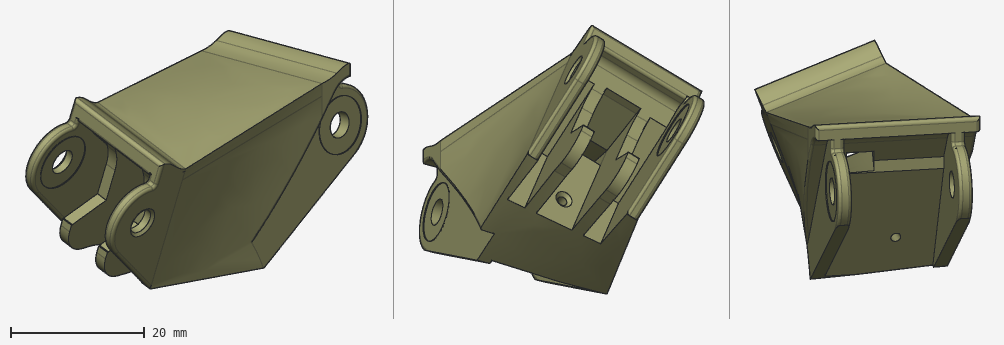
import cadquery as cq
import math

top_height = 29.0
pin_drop = 10.25
ear_radius = 6.15
edge_round = 0.5
lip_round = 0.6
lip_end_slope = 0.1
lip_bend_slope = 0.5
pin_diameter = 4.0
countersink = 0.45
recess_diameter = 9.0
recess_depth = 0.15

body_width = 25.0
rear_pin_y = 48.85
rear_skin_y = 42.45
rear_skin_drop = 1.9
rear_bend_y = 45.65
rear_bend_drop = 1.0
rear_rim_slope = math.radians(48)
underside_slope = math.radians(35)
underside_foot_y = 32.4
rear_ear_inset = 2.3
rear_ear_thickness = 2.05

clearance_drop = 2.2
clearance_radius = 4.4
side_clearance_slope = math.radians(53.3)
middle_clearance_slope = math.radians(64)
skin_round = 0.4

flank_foot_y = 30.25
flank_bulge = 1.4

yoke_turn = 20
front_width = 19.4
front_depth = 23.65
front_top_step = 0.1
front_pin_y = 6.15
front_lip_y = 6.7
front_skin_y = 12.55
front_skin_drop = 2.15
front_bend_y = 10.7
front_bend_drop = 1.55
front_slope = math.radians(40)
front_ear_thickness = 1.85

shoulder_drop = 2.0

pocket_drop = 2.6
roof_bend_radius = 1.65
roof_slope = math.radians(58)
slot_shoulder_drop = 6.15
left_slot_back_drop = 14.15
right_slot_back_drop = 14.8
slot_back_y = 21.7

rib_inset = 4.8
rib_thickness = 1.9
rib_hollow_radius = 6.45
rib_step_drop = 15.55
rib_tip_drop = 18.5
rib_flat = 1.15

tunnel_drop = 5.8
tunnel_back_drop = 7.05
tunnel_exit_x = 15.25
tunnel_exit_y = 44.0
tunnel_exit_z = 19.8
tunnel_exit_width = 4.1
tunnel_exit_height = 3.3
cord_diameter = 1.5
cord_mouth_diameter = 2.65
cord_drop = 19.65

pin_z = top_height - pin_drop
turn = math.radians(yoke_turn)
corner_x = front_depth * math.sin(turn)
corner_z = top_height - front_top_step

margin = 0.55
far = 82.5


def slab(outline, start, thickness):
    """Extrude a (y, z) outline along X from x = start."""
    return outline.close().extrude(thickness).translate((start, 0, 0))


def around(y, z, radius, angle):
    """Point of a circle; the angle is measured from +Z towards +Y."""
    return y + radius * math.sin(angle), z + radius * math.cos(angle)


def yoke_outline(side, pin_y, lip_y, bend, skin, slope):
    """S-shaped lip, notch, round ear and sloping underside; side is the Y sign of the ear tip."""
    crest = (lip_y - side * lip_round, top_height)
    crest_mid = around(crest[0], top_height - lip_round, lip_round, side * math.pi / 4)
    notch_y = lip_y + side * edge_round
    notch_z = pin_z + math.sqrt(ear_radius**2 - (notch_y - pin_y) ** 2)
    notch_mid = around(notch_y, notch_z + edge_round, edge_round, math.pi + side * math.pi / 4)
    ear_end = around(pin_y, pin_z, ear_radius, side * (math.pi - slope))
    foot_z = ear_end[1] - abs(ear_end[0] - skin[0]) * math.tan(slope)
    return (
        cq.Workplane("YZ")
        .moveTo(*crest)
        .threePointArc(crest_mid, (lip_y, top_height - lip_round))
        .lineTo(lip_y, notch_z + edge_round)
        .threePointArc(notch_mid, (notch_y, notch_z))
        .threePointArc((pin_y + side * ear_radius, pin_z), ear_end)
        .lineTo(skin[0], foot_z)
        .lineTo(*skin)
        .spline([bend], tangents=[(side, lip_end_slope), (side, lip_bend_slope)], includeCurrent=True)
        .spline([crest], tangents=[(side, lip_bend_slope), (side, lip_end_slope)], includeCurrent=True)
    )


def rear_outline():
    bend = (rear_bend_y, top_height - rear_bend_drop)
    skin = (rear_skin_y, top_height - rear_skin_drop)
    return yoke_outline(1, rear_pin_y, rear_pin_y, bend, skin, rear_rim_slope)


def front_outline():
    bend = (front_bend_y, top_height - front_bend_drop)
    skin = (front_skin_y, top_height - front_skin_drop)
    return yoke_outline(-1, front_pin_y, front_lip_y, bend, skin, front_slope)


def ear_plate(outline, start, thickness, tip_y, skin_y):
    """Yoke outline as a plate, with both rims rounded from the lip to the end of the ear."""
    plate = slab(outline, start, thickness)
    low, high = sorted((tip_y, skin_y + math.copysign(margin / 2, tip_y - skin_y)))
    rim = cq.selectors.BoxSelector((-far, low, 0), (far, high, top_height - clearance_drop))
    return plate.faces("<X or >X").edges(rim).fillet(edge_round)


def above(z):
    """Large block that fills the space above a height."""
    return cq.Workplane().box(far, 2 * far, far).translate((0, 0, z + far / 2))


def lip_corners(width, lip_y, side):
    """What must go to round the two upright corners of a lip."""
    strip = cq.Workplane().box(width + 2 * margin, edge_round, far)
    strip = strip.translate((width / 2, lip_y - side * edge_round / 2, 0))
    rounded = cq.Workplane().box(width, far, far).edges("|Z").fillet(edge_round)
    return strip.cut(rounded.translate((width / 2, lip_y - side * far / 2, 0)))


def rod(diameter, y, start, length):
    """Cylinder along X at pin height."""
    return cq.Workplane("YZ").center(y, pin_z).circle(diameter / 2).extrude(length).translate((start, 0, 0))


def place_front(solid):
    """Move a solid built square to the axes onto the turned yoke."""
    moved = solid.translate((corner_x, 0, corner_z - top_height))
    return moved.rotate((corner_x, 0, corner_z), (corner_x, 1, corner_z), yoke_turn)


def front_point(across, drop):
    """X and Z of a point given across and down the turned yoke."""
    x = corner_x + across * math.cos(turn) - drop * math.sin(turn)
    z = corner_z - across * math.sin(turn) - drop * math.cos(turn)
    return x, z


def twisted_loft(first_y, first, second_y, second):
    """Ruled solid between two (x, z) polygons with matching corners."""
    wires = []
    for y, points in ((first_y, first), (second_y, second)):
        wires.append(cq.Wire.makePolygon([cq.Vector(x, y, z) for x, z in points], close=True))
    return cq.Workplane(cq.Solid.makeLoft(wires, True))


def skin_body():
    """Twisted block between the square rear section and the turned front section."""
    rear_top = top_height - rear_skin_drop
    shoulder = rear_top - shoulder_drop
    heights = (rear_top, shoulder, 0)
    rear = [(0, z) for z in heights]
    rear += [(body_width, z) for z in reversed(heights)]
    drops = (front_skin_drop, front_skin_drop + shoulder_drop, front_depth)
    front = [front_point(0, drop) for drop in drops]
    front += [front_point(front_width, drop) for drop in reversed(drops)]
    return twisted_loft(rear_skin_y, rear, front_skin_y, front)


def rear_clearance(start, width, slope):
    """Space that is rounded under the lip and runs down at the given slope."""
    center = (rear_pin_y, top_height - clearance_drop - clearance_radius)
    bend_mid = around(*center, clearance_radius, -slope / 2)
    bend_end = around(*center, clearance_radius, -slope)
    outline = (
        cq.Workplane("YZ")
        .moveTo(far, top_height - clearance_drop)
        .lineTo(rear_pin_y, top_height - clearance_drop)
        .threePointArc(bend_mid, bend_end)
        .lineTo(bend_end[0] - (bend_end[1] + margin) / math.tan(slope), -margin)
        .lineTo(far, -margin)
    )
    return slab(outline, start, width)


def underside_cut():
    """Space below the sloping underside of the rear ears."""
    rise = math.tan(underside_slope)
    outline = (
        cq.Workplane("YZ")
        .moveTo(far, (far - underside_foot_y) * rise)
        .lineTo(underside_foot_y - margin / rise, -margin)
        .lineTo(far, -margin)
    )
    return slab(outline, -margin, body_width + 2 * margin)


def roof_point(drop):
    """Point of the sloping pocket roof, which is tangent to the hollow of the ribs."""
    y, z = around(front_pin_y, pin_z, rib_hollow_radius, roof_slope)
    roof_z = top_height - drop
    return y - (roof_z - z) / math.tan(roof_slope), roof_z


def pocket_start():
    """Outline of the front pocket from its open end, under the rounded lip, to its sloping roof."""
    lip_z = top_height - pocket_drop
    bend_drop = pocket_drop + edge_round + roof_bend_radius * (1 - math.cos(roof_slope))
    bend_end = roof_point(bend_drop)
    bend_center_y = bend_end[0] - roof_bend_radius * math.sin(roof_slope)
    bend_top_z = lip_z - edge_round
    bend_center = (bend_center_y, bend_top_z - roof_bend_radius)
    return (
        cq.Workplane("YZ")
        .moveTo(-far, lip_z)
        .lineTo(front_lip_y, lip_z)
        .threePointArc(
            around(front_lip_y + edge_round, lip_z, edge_round, -0.75 * math.pi),
            (front_lip_y + edge_round, bend_top_z),
        )
        .lineTo(bend_center_y, bend_top_z)
        .threePointArc(around(*bend_center, roof_bend_radius, roof_slope / 2), bend_end)
    )


def slot(start, width, back_drop):
    """Space beside a rib, open below, with an upright back wall under a slope."""
    outline = (
        pocket_start()
        .lineTo(*roof_point(slot_shoulder_drop))
        .lineTo(slot_back_y, top_height - back_drop)
        .lineTo(slot_back_y, -far)
        .lineTo(-far, -far)
    )
    return slab(outline, start, width)


def middle_slot(start, width):
    """Space between the ribs, which reaches up to the mouth of the tunnel."""
    outline = (
        cq.Workplane("YZ")
        .moveTo(front_pin_y, top_height - tunnel_drop)
        .lineTo(front_skin_y, top_height - tunnel_drop)
        .lineTo(slot_back_y, top_height - tunnel_back_drop)
        .lineTo(slot_back_y, -far)
        .lineTo(front_pin_y, -far)
    )
    return slab(outline, start, width).union(slot(start, width, left_slot_back_drop))


def rib_space(start):
    """Space above and in front of one guide rib."""
    face_y = front_pin_y + rib_hollow_radius
    outline = (
        pocket_start()
        .lineTo(*around(front_pin_y, pin_z, rib_hollow_radius, roof_slope))
        .threePointArc(
            around(front_pin_y, pin_z, rib_hollow_radius, (roof_slope + math.pi / 2) / 2),
            (face_y, pin_z),
        )
        .lineTo(face_y, top_height - rib_step_drop)
        .lineTo(front_pin_y, top_height - rib_tip_drop)
        .lineTo(-far, top_height - rib_tip_drop)
    )
    return slab(outline, start, rib_thickness)


def rib_nose(start):
    """Rounded front end of one guide rib."""
    flat_end = top_height - rib_tip_drop - rib_flat
    bottom = top_height - front_depth
    radius = flat_end - bottom
    nose_mid = around(front_pin_y + radius, flat_end, radius, -0.75 * math.pi)
    outline = (
        cq.Workplane("YZ")
        .moveTo(front_pin_y, top_height - rib_tip_drop)
        .lineTo(front_pin_y, flat_end)
        .threePointArc(nose_mid, (front_pin_y + radius, bottom))
        .lineTo(front_skin_y, bottom)
        .lineTo(front_skin_y, top_height - rib_tip_drop)
    )
    return slab(outline, start, rib_thickness)


rear_lip = slab(rear_outline(), 0, body_width).cut(rear_clearance(0, body_width, side_clearance_slope))
result = skin_body().union(rear_lip)
for start in (-margin, body_width - rear_ear_inset):
    result = result.cut(rear_clearance(start, rear_ear_inset + margin, side_clearance_slope))
for side_x in (0, body_width):
    low = (side_x - flank_bulge, flank_foot_y, 0)
    high = (side_x + flank_bulge, rear_pin_y, top_height - clearance_drop + margin / 2)
    flank_edges = result.edges(cq.selectors.BoxSelector(low, high)).edges("not(|Z)")
    result = flank_edges.fillet(skin_round)
result = result.cut(lip_corners(body_width, rear_pin_y, 1))
middle_start = rear_ear_inset + rear_ear_thickness
middle_width = body_width - 2 * middle_start
result = result.cut(rear_clearance(middle_start, middle_width, middle_clearance_slope))
for start in (rear_ear_inset, body_width - middle_start):
    ear = ear_plate(rear_outline(), start, rear_ear_thickness, far, rear_skin_y)
    result = result.union(ear.cut(above(top_height - clearance_drop)))
result = result.cut(underside_cut())

front_inner = front_width - 2 * front_ear_thickness
above_pocket = above(top_height - pocket_drop)
front_lip = slab(front_outline(), 0, front_width).intersect(above_pocket)
front = front_lip.cut(lip_corners(front_width, front_lip_y, -1))
front = front.union(slab(front_outline(), front_ear_thickness, front_inner).cut(above_pocket))
for start in (0, front_width - front_ear_thickness):
    ear = ear_plate(front_outline(), start, front_ear_thickness, -far, front_skin_y)
    front = front.union(ear.cut(above_pocket))
result = result.union(place_front(front))

right_rib = front_width - rib_inset - rib_thickness
slot_width = rib_inset - front_ear_thickness
left_rib_end = rib_inset + rib_thickness
pocket = middle_slot(left_rib_end, right_rib - left_rib_end)
pocket = pocket.union(slot(front_ear_thickness, slot_width, left_slot_back_drop))
pocket = pocket.union(slot(right_rib + rib_thickness, slot_width, right_slot_back_drop))
for start in (rib_inset, right_rib):
    pocket = pocket.union(rib_space(start))
result = result.cut(place_front(pocket))
for start in (rib_inset, right_rib):
    result = result.union(place_front(rib_nose(start)))

tunnel_front = [
    front_point(across, drop)
    for across, drop in (
        (left_rib_end, tunnel_back_drop),
        (left_rib_end, pin_drop),
        (right_rib, pin_drop),
        (right_rib, tunnel_back_drop),
    )
]
exit_right = tunnel_exit_x + tunnel_exit_width
exit_top = tunnel_exit_z + tunnel_exit_height
tunnel_rear = [
    (tunnel_exit_x, exit_top),
    (tunnel_exit_x, tunnel_exit_z),
    (exit_right, tunnel_exit_z),
    (exit_right, exit_top),
]
result = result.cut(twisted_loft(slot_back_y, tunnel_front, tunnel_exit_y, tunnel_rear))

cord_x, cord_z = front_point(front_width / 2, cord_drop)
mouth_depth = (cord_mouth_diameter - cord_diameter) / 2
mouth = cq.Solid.makeCone(
    cord_mouth_diameter / 2,
    cord_diameter / 2,
    mouth_depth,
    cq.Vector(cord_x, slot_back_y, cord_z),
    cq.Vector(0, 1, 0),
)
cord_hole = cq.Workplane("XZ", origin=(cord_x, slot_back_y, cord_z)).circle(cord_diameter / 2).extrude(-far)
result = result.cut(cord_hole).cut(cq.Workplane(mouth))

result = result.cut(rod(pin_diameter, rear_pin_y, 0, body_width))
for start in (rear_ear_inset - margin, body_width - rear_ear_inset - recess_depth):
    result = result.cut(rod(recess_diameter, rear_pin_y, start, recess_depth + margin))
front_holes = rod(pin_diameter, front_pin_y, -margin, front_width + 2 * margin)
right_recess = front_width - front_ear_thickness - margin
for start in (front_ear_thickness - recess_depth, right_recess):
    front_holes = front_holes.union(rod(recess_diameter, front_pin_y, start, recess_depth + margin))
for start, outward in ((0, 1), (front_width, -1)):
    sink = cq.Solid.makeCone(
        pin_diameter / 2 + countersink,
        pin_diameter / 2,
        countersink,
        cq.Vector(start, front_pin_y, pin_z),
        cq.Vector(outward, 0, 0),
    )
    front_holes = front_holes.union(cq.Workplane(sink))
result = result.cut(place_front(front_holes))